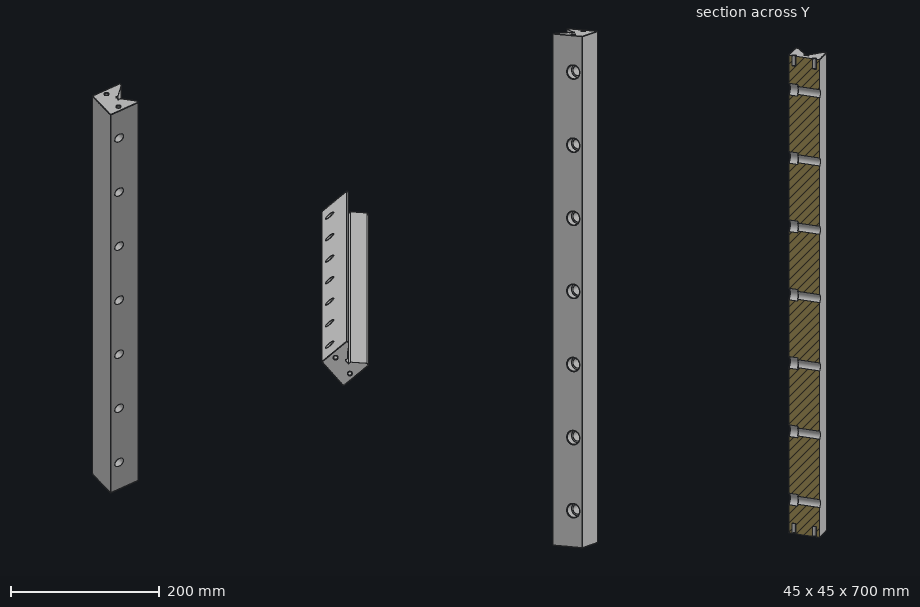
import cadquery as cq

width = 45.0
depth = 45.0
length = 700.0
edge_chamfer = 0.5

land_width = 3.5
relief_width = 6.5
groove_depth = 19.5
groove_half_width = width / 2 - land_width
relief_half_width = relief_width / 2
v_depth = groove_half_width - relief_half_width

cross_hole_count = 7
cross_hole_pitch = 100.0
cross_hole_diameter = 14.0
counterbore_diameter = 18.5
counterbore_depth = 13.0
counterbore_chamfer = 0.75
cross_hole_y = 14.0
first_cross_hole_z = (length - (cross_hole_count - 1) * cross_hole_pitch) / 2

end_hole_diameter = 5.0
end_hole_depth = 15.0
end_hole_chamfer = 0.8
end_hole_spacing = 29.5
end_hole_y = 18.0


def make_bar():
    """Make the plain bar, chamfered all round; Y = 0 is its back face."""
    bar = cq.Workplane("XY").box(width, depth, length, centered=(True, False, False))
    return bar.edges().chamfer(edge_chamfer)


def cut_groove(bar):
    """Cut the V-groove and its relief slot along the whole bar."""
    v_root_y = depth - v_depth
    groove_floor_y = depth - groove_depth
    groove = (
        cq.Workplane("XY")
        .moveTo(-groove_half_width, depth)
        .lineTo(-relief_half_width, v_root_y)
        .lineTo(-relief_half_width, groove_floor_y)
        .lineTo(relief_half_width, groove_floor_y)
        .lineTo(relief_half_width, v_root_y)
        .lineTo(groove_half_width, depth)
        .close()
        .extrude(length)
    )
    return bar.cut(groove)


def mouth_chamfers(hole_starts, hole_diameter, chamfer):
    """Return 45 degree cones that chamfer the mouths of holes."""
    mouths = hole_starts.circle(hole_diameter / 2 + chamfer)
    return mouths.extrude(chamfer, taper=45)


def cut_cross_holes(bar):
    """Cut the row of counterbored holes through the width of the bar."""
    centres = [
        (cross_hole_y, first_cross_hole_z + index * cross_hole_pitch)
        for index in range(cross_hole_count)
    ]
    hole_starts = cq.Workplane("YZ", origin=(-width / 2, 0, 0)).pushPoints(centres)
    bores = hole_starts.circle(cross_hole_diameter / 2).extrude(width)
    counterbores = hole_starts.circle(counterbore_diameter / 2).extrude(counterbore_depth)
    chamfers = mouth_chamfers(hole_starts, counterbore_diameter, counterbore_chamfer)
    return bar.cut(bores).cut(counterbores).cut(chamfers)


def cut_end_holes(bar):
    """Cut a pair of chamfered blind holes into each end of the bar."""
    centres = [(side * end_hole_spacing / 2, 0) for side in (-1, 1)]
    for end_z, inward in ((0, 1), (length, -1)):
        end_plane = cq.Plane(origin=(0, end_hole_y, end_z), xDir=(1, 0, 0), normal=(0, 0, inward))
        hole_starts = cq.Workplane(end_plane).pushPoints(centres)
        holes = hole_starts.circle(end_hole_diameter / 2).extrude(end_hole_depth)
        chamfers = mouth_chamfers(hole_starts, end_hole_diameter, end_hole_chamfer)
        bar = bar.cut(holes).cut(chamfers)
    return bar


bar_with_groove = cut_groove(make_bar())
result = cut_end_holes(cut_cross_holes(bar_with_groove))